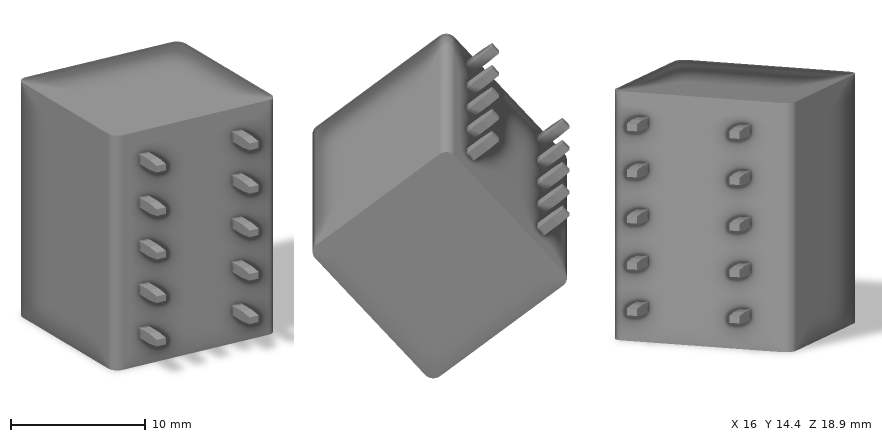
import cadquery as cq

body_length = 13.51
body_width = 14.4
body_height = 18.9
corner_radius = 0.8

pin_length = 2.5
pin_straight_length = 1.5
pin_width = 0.8
pin_height = 0.8
tip_height = 0.53

pins_per_column = 5
column_height = 14.0
pin_pitch = column_height / (pins_per_column - 1)
column_spacing = 8.2
lowest_pin_z = 2.7
near_column_y = -4.61

pin_embed = 0.38


def make_housing():
    return (
        cq.Workplane("XY")
        .box(body_length, body_width, body_height, centered=(True, True, False))
        .edges("|Z")
        .fillet(corner_radius)
    )


def make_pin(center_y, center_z):
    face_x = body_length / 2
    taper_x = face_x + pin_straight_length
    tip_x = face_x + pin_length
    side_profile = [
        (face_x - pin_embed, -pin_height / 2),
        (taper_x, -pin_height / 2),
        (tip_x, -tip_height / 2),
        (tip_x, tip_height / 2),
        (taper_x, pin_height / 2),
        (face_x - pin_embed, pin_height / 2),
    ]
    return (
        cq.Workplane("XZ")
        .polyline(side_profile)
        .close()
        .extrude(pin_width / 2, both=True)
        .translate((0, center_y, center_z))
    )


result = make_housing()
for column_y in (near_column_y, near_column_y + column_spacing):
    for level in range(pins_per_column):
        result = result.union(make_pin(column_y, lowest_pin_z + level * pin_pitch))